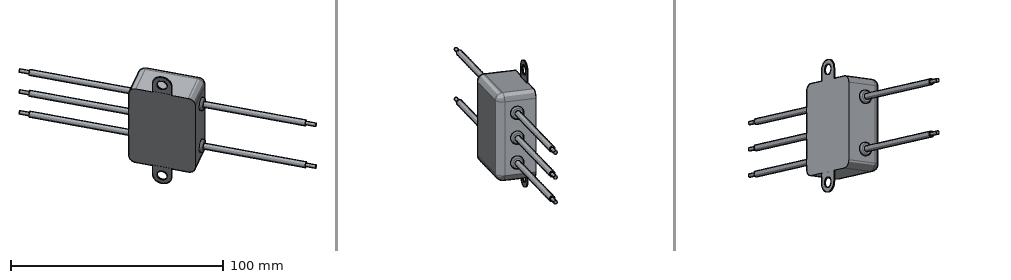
import cadquery as cq

overall_length = 145.5
overall_height = 63.5

body_width = 32.7
body_depth = 19.0
body_height = 44.1
body_round = 3.5

tab_width = 9.5
tab_thickness = 0.6
tab_hole_diameter = 5.0

wire_pitch = 12.5
wire_diameter = 2.9
core_diameter = 1.7
core_length = 5.0
grommet_diameter = 6.4
grommet_length = 1.5
grommet_round = 0.7

front_y = -body_depth / 2
side_x = body_width / 2
tab_centre_z = overall_height / 2 - tab_width / 2
wires_by_side = {
    -1: (-wire_pitch, 0, wire_pitch),
    1: (-wire_pitch, wire_pitch),
}


def make_body():
    """Box with rounded upright corners and a fully rounded back rim."""
    body = cq.Workplane("XY").box(body_width, body_depth, body_height)
    return body.edges("|Y").fillet(body_round).faces(">Y").edges().fillet(body_round)


def make_tab_strip():
    """Thin round-ended strip running through the body, with a hole near each end."""
    strip = (
        cq.Workplane("XZ", origin=(0, front_y, 0))
        .slot2D(overall_height, tab_width, angle=90)
        .extrude(-tab_thickness)
    )
    holes = (
        cq.Workplane("XZ", origin=(0, front_y, 0))
        .pushPoints([(0, -tab_centre_z), (0, tab_centre_z)])
        .circle(tab_hole_diameter / 2)
        .extrude(-tab_thickness)
    )
    return strip.cut(holes)


def make_rod(side, z, diameter, end_x):
    """Round bar from the middle of the body to end_x on the given side."""
    rod = cq.Workplane("YZ", origin=(0, 0, z)).circle(diameter / 2)
    return rod.extrude(side * end_x)


def make_wire(side, z):
    """Grommet, insulated wire and bare core leaving one side of the body."""
    core_end = overall_length / 2
    outer_face = ">X" if side > 0 else "<X"
    grommet = make_rod(side, z, grommet_diameter, side_x + grommet_length)
    grommet = grommet.faces(outer_face).edges().fillet(grommet_round)
    insulation = make_rod(side, z, wire_diameter, core_end - core_length)
    core = make_rod(side, z, core_diameter, core_end)
    return grommet.union(insulation).union(core)


result = make_body().union(make_tab_strip())
for side, heights in wires_by_side.items():
    for z in heights:
        result = result.union(make_wire(side, z))